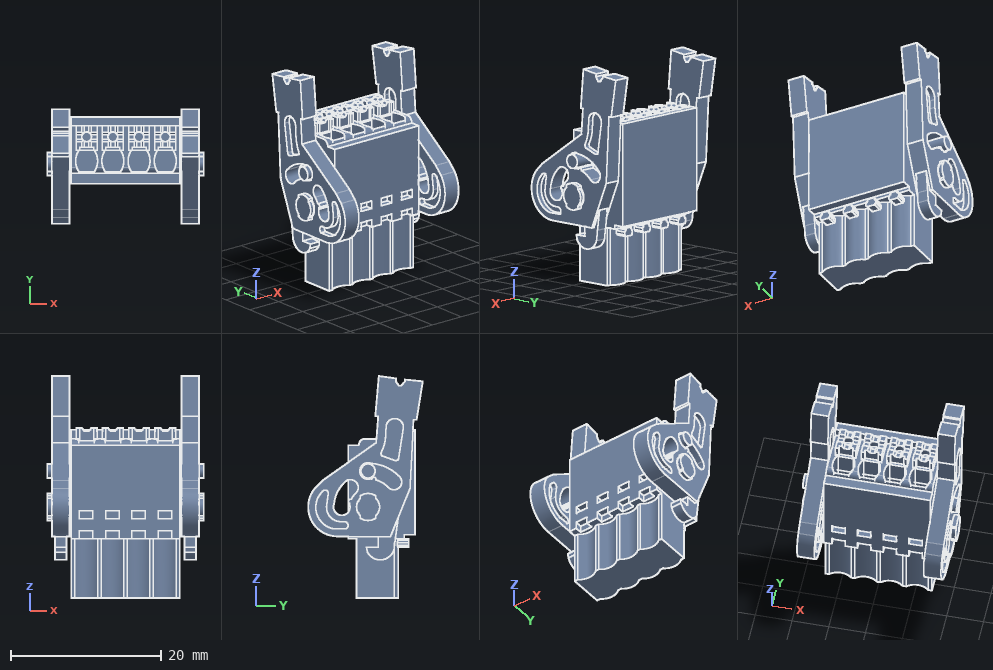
import cadquery as cq
import math


POLES = 4
PITCH = 3.5
TOP_SHIFT = 0.05
POLE_XS = [(i - (POLES - 1) / 2) * PITCH for i in range(POLES)]
TOP_XS = [x + TOP_SHIFT for x in POLE_XS]

HALF_W = 7.25
REAR_Y = 6.27
FRONT_Y = -2.65
WALL_TOP = 10.3
WALL_FRONT_Y = 5.1
SHELF_Z = 9.08
LEDGE_Z = 8.25
LEDGE_REAR_Y = -1.25
HOUSING_BOTTOM = -4.23
STEP_Y, STEP_Z = 4.82, -3.7

PLUG_BOTTOM = -12.13
PLUG_FRONT_Y = -1.55
PLUG_REAR_Y = 4.02
SCALLOP_W = 3.02
SCALLOP_DEPTH = 0.55

KEY_END_Y = 5.45
KEY_NECK_W = 1.0
KEY_HEAD_W = 1.48
KEY_TIP_W = 1.12
KEY_NECK_H, KEY_FLARE_H, KEY_SIDE_H, KEY_TIP_H = 0.2, 0.3, 0.38, 0.25

WINDOW_W = 1.8
WINDOW_BOTTOM, WINDOW_TOP = -1.6, -0.53
NOTCH_TOP = -3.2
OPENING_DEPTH = 1.0

ENTRY_FRONT_Y = -1.05
ENTRY_W = 2.93
ENTRY_END_W = 2.05
ENTRY_BOTTOM = 2.95

BUTTON_W = 2.78
BUTTON_FRONT_Y = 1.83
BUTTON_TOP = 10.53
BUTTON_BOTTOM = 5.92
RECESS_W = 1.85
RECESS_DEPTH = 0.4
RECESS_FLOOR = 8.82
GROOVE_W = 1.25
GROOVE_FLOOR_W = 0.62
GROOVE_DEPTH = 0.4
CROSS_Y = 3.6
DIMPLE_R = 0.65
DIMPLE_DEPTH = 1.48

PIN_END_X = 10.45
PIVOT_R = 1.42
HEAD_R = 1.55
HEAD_KEY_R = 1.8
HEAD_KEY_W = 2.07
GUIDE_PIN_R = 0.95
GUIDE_PIN_Z = 4.8

LEVER_INNER_X = 7.43
LEVER_T = 2.37
LEVER_OUTER_X = LEVER_INNER_X + LEVER_T
NOSE_Y = -4.05
NOSE_R = 3.95
NOSE_START = 141
POCKET_DEPTH = 0.8
HOOK_T = 1.57
SLOT_HALF_W = 1.05
LATCH_R = 1.1
LUG_R = 0.3
LUG_OFFSET = 0.77
GUIDE_SLOT_ANGLES = (90, 44)
SIDE_SLOT_R = 3.5
SIDE_SLOT_ANGLES = (180, 132)


def box(x, y, z):
    """Box from (low, high) pairs."""
    size = (x[1] - x[0], y[1] - y[0], z[1] - z[0])
    return cq.Workplane("XY").box(*size, centered=False).translate((x[0], y[0], z[0]))


def centred(x, width):
    return (x - width / 2, x + width / 2)


def polar(radius, degrees, centre=(0, 0)):
    a = math.radians(degrees)
    return (centre[0] + radius * math.cos(a), centre[1] + radius * math.sin(a))


def side_plane(x):
    """Plane seen along X, with local axes Y and Z."""
    return cq.Workplane("YZ", origin=(x, 0, 0))


def disc(x0, length, centre, radius):
    return side_plane(x0).center(*centre).circle(radius).extrude(length)


def housing_shell():
    round_r = SHELF_Z - LEDGE_Z
    round_y = LEDGE_REAR_Y + round_r
    round_mid = polar(round_r, 135, (round_y, LEDGE_Z))
    profile = (
        side_plane(-HALF_W)
        .moveTo(REAR_Y, WALL_TOP)
        .lineTo(WALL_FRONT_Y, WALL_TOP)
        .lineTo(WALL_FRONT_Y, SHELF_Z)
        .lineTo(round_y, SHELF_Z)
        .threePointArc(round_mid, (LEDGE_REAR_Y, LEDGE_Z))
        .lineTo(FRONT_Y, LEDGE_Z)
        .lineTo(FRONT_Y, HOUSING_BOTTOM)
        .lineTo(STEP_Y, HOUSING_BOTTOM)
        .lineTo(STEP_Y, STEP_Z)
        .lineTo(REAR_Y, STEP_Z)
        .close()
    )
    return profile.extrude(2 * HALF_W)


def plug_block():
    """Block with a concave channel in front and a matching convex rib behind for each pole."""
    height = HOUSING_BOTTOM - PLUG_BOTTOM
    flat_y = PLUG_REAR_Y - SCALLOP_DEPTH
    block = box((-HALF_W, HALF_W), (PLUG_FRONT_Y, flat_y), (PLUG_BOTTOM, HOUSING_BOTTOM))
    for x in POLE_XS:
        left, right = centred(x, SCALLOP_W)
        for y, cut in ((flat_y, False), (PLUG_FRONT_Y, True)):
            arc = (
                cq.Workplane("XY", origin=(0, 0, PLUG_BOTTOM))
                .moveTo(left, y)
                .threePointArc((x, y + SCALLOP_DEPTH), (right, y))
                .close()
                .extrude(height)
            )
            block = block.cut(arc) if cut else block.union(arc)
    return block


def coding_key(x):
    z_flare = HOUSING_BOTTOM - KEY_NECK_H
    z_side = z_flare - KEY_FLARE_H
    z_tip = z_side - KEY_SIDE_H
    z_end = z_tip - KEY_TIP_H
    right_side = [
        (KEY_NECK_W / 2, HOUSING_BOTTOM),
        (KEY_NECK_W / 2, z_flare),
        (KEY_HEAD_W / 2, z_side),
        (KEY_HEAD_W / 2, z_tip),
        (KEY_TIP_W / 2, z_end),
    ]
    outline = right_side + [(-dx, z) for dx, z in reversed(right_side)]
    root_y = PLUG_REAR_Y - SCALLOP_DEPTH
    return (
        cq.Workplane("XZ", origin=(x, KEY_END_Y, 0))
        .polyline(outline)
        .close()
        .extrude(KEY_END_Y - root_y)
    )


def wire_entry(x):
    """Hole with flat front and rear walls and bulging sides."""
    mid_y = (ENTRY_FRONT_Y + BUTTON_FRONT_Y) / 2
    end_left, end_right = centred(x, ENTRY_END_W)
    mid_left, mid_right = centred(x, ENTRY_W)
    return (
        cq.Workplane("XY", origin=(0, 0, ENTRY_BOTTOM))
        .moveTo(end_left, ENTRY_FRONT_Y)
        .lineTo(end_right, ENTRY_FRONT_Y)
        .threePointArc((mid_right, mid_y), (end_right, BUTTON_FRONT_Y))
        .lineTo(end_left, BUTTON_FRONT_Y)
        .threePointArc((mid_left, mid_y), (end_left, ENTRY_FRONT_Y))
        .close()
        .extrude(SHELF_Z - ENTRY_BOTTOM)
    )


def button_block(x):
    return box(centred(x, BUTTON_W), (BUTTON_FRONT_Y, WALL_FRONT_Y), (BUTTON_BOTTOM, BUTTON_TOP))


def front_openings(x):
    depth = (FRONT_Y, FRONT_Y + OPENING_DEPTH)
    window = box(centred(x, WINDOW_W), depth, (WINDOW_BOTTOM, WINDOW_TOP))
    notch = box(centred(x, WINDOW_W), depth, (HOUSING_BOTTOM, NOTCH_TOP))
    return window.union(notch)


def end_pins(side):
    """Pivot pin with a keyed head, and guide pin, on one end of the housing."""
    start = side * HALF_W
    length = side * (PIN_END_X - HALF_W)
    head_start = side * LEVER_OUTER_X
    head_length = side * (PIN_END_X - LEVER_OUTER_X)
    guide = disc(start, length, (0, GUIDE_PIN_Z), GUIDE_PIN_R)
    pivot = disc(start, length, (0, 0), PIVOT_R)
    head = disc(head_start, head_length, (0, 0), HEAD_R)
    key = disc(head_start, head_length, (0, 0), HEAD_KEY_R)
    key_limits = side_plane(head_start).rect(HEAD_KEY_W, 2 * HEAD_KEY_R).extrude(head_length)
    return guide, pivot, head, key.intersect(key_limits)


def make_housing():
    body = housing_shell().union(plug_block())
    for x in POLE_XS:
        body = body.union(coding_key(x)).cut(front_openings(x))
    for x in TOP_XS:
        body = body.cut(wire_entry(x)).cut(button_block(x))
    for side in (-1, 1):
        for pin in end_pins(side):
            body = body.union(pin)
    return body


def groove_profile(plane):
    floor_z = BUTTON_TOP - GROOVE_DEPTH
    half_top, half_floor = GROOVE_W / 2, GROOVE_FLOOR_W / 2
    points = [(-half_top, BUTTON_TOP), (-half_floor, floor_z), (half_floor, floor_z), (half_top, BUTTON_TOP)]
    return plane.polyline(points).close()


def make_button(x):
    depth = WALL_FRONT_Y - BUTTON_FRONT_Y
    along_y = groove_profile(cq.Workplane("XZ", origin=(x, WALL_FRONT_Y, 0))).extrude(depth)
    along_x = groove_profile(cq.Workplane("YZ", origin=(x - BUTTON_W / 2, CROSS_Y, 0))).extrude(BUTTON_W)
    dimple = cq.Workplane("XY", origin=(x, CROSS_Y, BUTTON_TOP)).circle(DIMPLE_R).extrude(-DIMPLE_DEPTH)
    recess_y = (BUTTON_FRONT_Y, BUTTON_FRONT_Y + RECESS_DEPTH)
    recess = box(centred(x, RECESS_W), recess_y, (RECESS_FLOOR, BUTTON_TOP))
    return button_block(x).cut(along_y).cut(along_x).cut(dimple).cut(recess)


def lever_plate():
    nose = (NOSE_Y, 0)
    return (
        side_plane(LEVER_INNER_X)
        .moveTo(7.3, 16.75)
        .lineTo(4.9, 16.98)
        .lineTo(4.9, 16.72)
        .lineTo(4.38, 16.15)
        .lineTo(4.1, 16.15)
        .lineTo(3.7, 16.75)
        .lineTo(3.75, 17.13)
        .lineTo(1.42, 17.45)
        .lineTo(0.95, 12.07)
        .lineTo(1.33, 12.07)
        .lineTo(1.07, 8.55)
        .lineTo(-6.0, 3.58)
        .lineTo(*polar(NOSE_R, NOSE_START, nose))
        .threePointArc(polar(NOSE_R, 210, nose), polar(NOSE_R, 270, nose))
        .lineTo(3.0, -NOSE_R)
        .lineTo(5.6, 2.5)
        .lineTo(6.07, 11.6)
        .lineTo(6.48, 11.6)
        .close()
        .extrude(LEVER_T)
    )


def hook():
    """Narrower claw below the plate, opening towards the front."""
    return (
        side_plane(LEVER_INNER_X + (LEVER_T - HOOK_T) / 2)
        .moveTo(4.02, -1.42)
        .lineTo(3.65, -4.17)
        .lineTo(3.45, -5.62)
        .threePointArc((1.7, -7.05), (-0.1, -6.0))
        .lineTo(-0.2, -5.35)
        .lineTo(1.35, -5.35)
        .lineTo(1.35, -1.42)
        .close()
        .extrude(HOOK_T)
    )


def latch_slot(radius, angles):
    """Curved slot about the pivot, with a round seat at its first end and a lug that holds the pin."""
    seat_angle, far_angle = angles
    mid_angle = (seat_angle + far_angle) / 2
    outer, inner = radius + SLOT_HALF_W, radius - SLOT_HALF_W
    turn = math.copysign(1, far_angle - seat_angle)
    lug_angle = seat_angle + turn * math.degrees(LUG_OFFSET / inner)
    band = (
        side_plane(LEVER_INNER_X)
        .moveTo(*polar(outer, seat_angle))
        .threePointArc(polar(outer, mid_angle), polar(outer, far_angle))
        .lineTo(*polar(inner, far_angle))
        .threePointArc(polar(inner, mid_angle), polar(inner, seat_angle))
        .close()
        .extrude(LEVER_T)
    )
    far_end = disc(LEVER_INNER_X, LEVER_T, polar(radius, far_angle), SLOT_HALF_W)
    lug = disc(LEVER_INNER_X, LEVER_T, polar(inner, lug_angle), LUG_R)
    seat = disc(LEVER_INNER_X, LEVER_T, polar(radius, seat_angle), LATCH_R)
    return band.union(far_end).cut(lug).union(seat)


def arm_pocket(x):
    """Long rounded pocket in the arm."""
    return (
        side_plane(x)
        .moveTo(4.7, 10.53)
        .threePointArc((3.55, 11.78), (2.4, 10.53))
        .lineTo(2.35, 9.35)
        .threePointArc((2.15, 8.29), (1.78, 7.3))
        .threePointArc((1.78, 6.92), (2.05, 6.75))
        .lineTo(3.52, 6.2)
        .threePointArc((3.9, 6.25), (4.08, 6.55))
        .close()
        .extrude(POCKET_DEPTH)
    )


def nose_pocket(x):
    """Crescent pocket following the round nose."""
    return (
        side_plane(x)
        .moveTo(-5.3, 1.78)
        .threePointArc((-5.62, 2.25), (-6.1, 2.05))
        .threePointArc((-6.85, -0.9), (-4.65, -2.9))
        .lineTo(-2.93, -2.9)
        .threePointArc((-2.65, -2.37), (-3.15, -1.95))
        .lineTo(-3.6, -1.95)
        .threePointArc((-5.03, -1.33), (-5.53, 0))
        .close()
        .extrude(POCKET_DEPTH)
    )


def make_lever():
    """Lever on the +X end."""
    body = lever_plate().union(hook())
    body = body.cut(disc(LEVER_INNER_X, LEVER_T, (0, 0), PIVOT_R))
    body = body.cut(latch_slot(GUIDE_PIN_Z, GUIDE_SLOT_ANGLES))
    body = body.cut(latch_slot(SIDE_SLOT_R, SIDE_SLOT_ANGLES))
    for x in (LEVER_INNER_X, LEVER_OUTER_X - POCKET_DEPTH):
        body = body.cut(arm_pocket(x)).cut(nose_pocket(x))
    return body


housing = make_housing()
buttons = [make_button(x) for x in TOP_XS]
lever = make_lever()
levers = [lever, lever.mirror("YZ")]

result = cq.Compound.makeCompound(
    [housing.val()] + [b.val() for b in buttons] + [v.val() for v in levers]
)